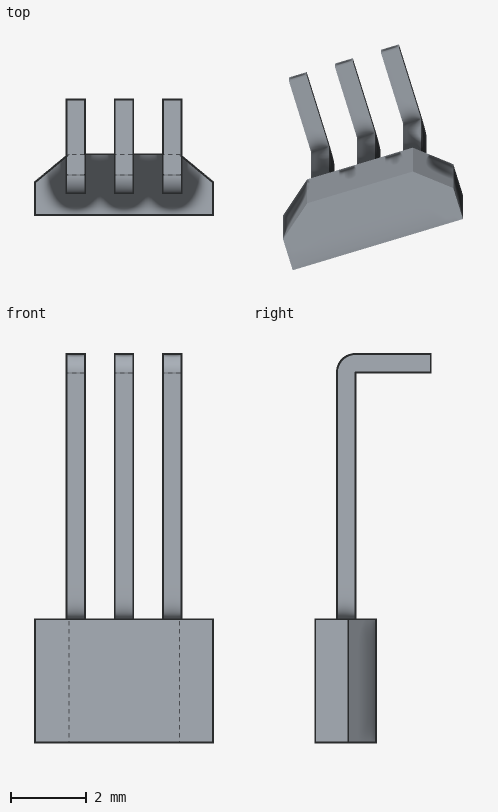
import cadquery as cq

housing_width = 4.69
housing_depth = 1.61
housing_height = 3.26
side_depth = 0.87
rear_width = 2.91

pin_count = 3
pin_pitch = 1.27
pin_size = 0.49
pin_front = 0.57
total_depth = 3.05
total_height = 10.25
bend_radius = pin_size


def make_housing():
    half_width = housing_width / 2
    half_rear = rear_width / 2
    return (
        cq.Workplane("XY")
        .moveTo(-half_width, 0)
        .lineTo(half_width, 0)
        .lineTo(half_width, side_depth)
        .lineTo(half_rear, housing_depth)
        .lineTo(-half_rear, housing_depth)
        .lineTo(-half_width, side_depth)
        .close()
        .extrude(housing_height)
    )


def make_pin(center_x):
    pin_rear = pin_front + pin_size
    arm_bottom = total_height - pin_size
    return (
        cq.Workplane("YZ", origin=(center_x, 0, 0))
        .moveTo(pin_front, housing_height)
        .lineTo(pin_front, total_height - bend_radius)
        .radiusArc((pin_front + bend_radius, total_height), bend_radius)
        .lineTo(total_depth, total_height)
        .lineTo(total_depth, arm_bottom)
        .lineTo(pin_rear, arm_bottom)
        .lineTo(pin_rear, housing_height)
        .close()
        .extrude(pin_size / 2, both=True)
    )


result = make_housing()
for index in range(pin_count):
    offset = index - (pin_count - 1) / 2
    result = result.union(make_pin(offset * pin_pitch))